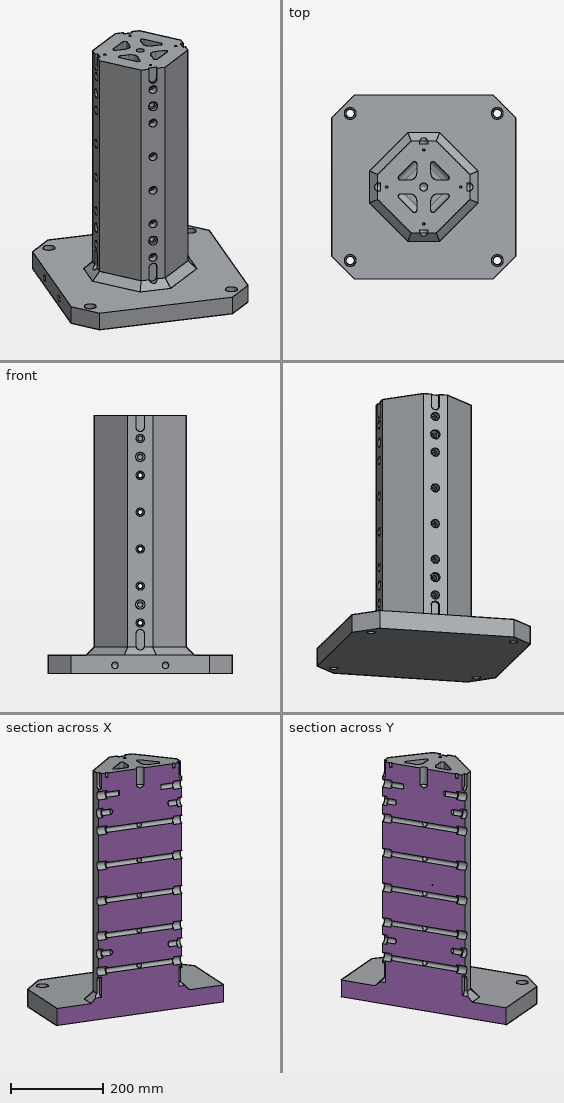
import cadquery as cq
import math

BASE_SIDE = 400.0
BASE_THICKNESS = 40.0
BASE_CORNER_CUT = 50.0

TOTAL_HEIGHT = 560.0
COLUMN_WIDTH = 200.0
COLUMN_DIAGONAL_WIDTH = 180.0
FLARE_HEIGHT = 18.0
FLARE_REACH = 18.0

BOLT_OFFSET = 159.5
BOLT_DIAMETER = 18.0
BOLT_RECESS_DIAMETER = 26.0
BOLT_RECESS_DEPTH = 20.0

SIDE_HOLE_OFFSET = 55.0
SIDE_HOLE_HEIGHT = 18.0
SIDE_HOLE_DIAMETER = 14.0
SIDE_HOLE_DEPTH = 30.0

HOLE_PITCH = 80.0
LOWEST_HOLE_HEIGHT = 110.0
ROW_HOLE_COUNT = 6
ROW_HOLE_DIAMETER = 10.5
ROW_RECESS_DIAMETER = 18.0
ROW_RECESS_DEPTH = 20.0
STOPPED_HOLE_DEPTH = 50.0
DRILLED_HOLE_DIAMETER = 12.0
DRILLED_RECESS_DIAMETER = 20.0
DRILLED_RECESS_DEPTH = 10.0
DRILLED_HOLE_DEPTH = 30.0

KEYWAY_WIDTH = 18.0
KEYWAY_DEPTH = 6.0
LOWER_KEYWAY_BOTTOM = 51.0
LOWER_KEYWAY_TOP = 96.0
UPPER_KEYWAY_BOTTOM = 525.0

CENTRE_HOLE_DIAMETER = 17.5
CENTRE_HOLE_DEPTH = 40.0
PIN_HOLE_DIAMETER = 5.0
PIN_HOLE_OFFSET = 80.0
PIN_HOLE_DEPTH = 10.0

RIB_THICKNESS = 30.0
POCKET_OUTER_DISTANCE = 55.0
POCKET_ROUNDING = 15.0
POCKET_TIP_RADIUS = 5.0

DRILL_POINT_ANGLE = 118.0
QUARTER_TURNS = (0, 90, 180, 270)


def octagon(width, diagonal_width, height):
    """Closed octagon at the given height; the two widths are across the flats."""
    half = width / 2
    half_face = diagonal_width / math.sqrt(2) - half
    points = [
        (half, half_face), (half_face, half), (-half_face, half), (-half, half_face),
        (-half, -half_face), (-half_face, -half), (half_face, -half), (half, -half_face),
    ]
    return cq.Workplane("XY").workplane(offset=height).polyline(points).close()


def cylinder(diameter, depth, start, direction):
    return cq.Workplane(cq.Solid.makeCylinder(diameter / 2, depth, start, direction))


def drilled_hole(diameter, depth, start, direction):
    """Blind hole of full-diameter depth, ending in a drill point."""
    radius = diameter / 2
    point_depth = radius / math.tan(math.radians(DRILL_POINT_ANGLE / 2))
    point = cq.Solid.makeCone(radius, 0, point_depth, start + direction * depth, direction)
    return cylinder(diameter, depth, start, direction).union(cq.Workplane(point))


def on_all_sides(tool):
    """Four copies of a tool, a quarter turn apart about the column axis."""
    copies = cq.Workplane("XY")
    for angle in QUARTER_TURNS:
        copies = copies.add(tool.rotate((0, 0, 0), (0, 0, 1), angle))
    return copies.combine()


def base_plate():
    plate = cq.Workplane("XY").box(BASE_SIDE, BASE_SIDE, BASE_THICKNESS, centered=(True, True, False))
    return plate.edges("|Z").chamfer(BASE_CORNER_CUT)


def column():
    shaft = octagon(COLUMN_WIDTH, COLUMN_DIAGONAL_WIDTH, BASE_THICKNESS)
    shaft = shaft.extrude(TOTAL_HEIGHT - BASE_THICKNESS)
    foot = octagon(COLUMN_WIDTH + 2 * FLARE_REACH, COLUMN_DIAGONAL_WIDTH + 2 * FLARE_REACH, BASE_THICKNESS)
    head = octagon(COLUMN_WIDTH, COLUMN_DIAGONAL_WIDTH, BASE_THICKNESS + FLARE_HEIGHT)
    flare = cq.Solid.makeLoft([foot.wire().val(), head.wire().val()], True)
    return shaft.union(cq.Workplane(flare))


def base_bolt_hole():
    top = cq.Vector(BOLT_OFFSET, BOLT_OFFSET, BASE_THICKNESS)
    down = cq.Vector(0, 0, -1)
    hole = cylinder(BOLT_DIAMETER, BASE_THICKNESS, top, down)
    return hole.union(cylinder(BOLT_RECESS_DIAMETER, BOLT_RECESS_DEPTH, top, down))


def base_side_holes():
    holes = cq.Workplane("XY")
    for x in (-SIDE_HOLE_OFFSET, SIDE_HOLE_OFFSET):
        start = cq.Vector(x, -BASE_SIDE / 2, SIDE_HOLE_HEIGHT)
        holes = holes.add(drilled_hole(SIDE_HOLE_DIAMETER, SIDE_HOLE_DEPTH, start, cq.Vector(0, 1, 0)))
    return holes.combine()


def face_holes():
    """Hole row of the column face towards -Y; its through holes meet those of the other faces at the axis."""
    inward = cq.Vector(0, 1, 0)
    row_heights = [LOWEST_HOLE_HEIGHT + i * HOLE_PITCH for i in range(ROW_HOLE_COUNT)]
    holes = cq.Workplane("XY")
    for height in row_heights:
        start = cq.Vector(0, -COLUMN_WIDTH / 2, height)
        is_top_hole = height == row_heights[-1]
        depth = STOPPED_HOLE_DEPTH if is_top_hole else COLUMN_WIDTH / 2
        holes = holes.add(cylinder(ROW_HOLE_DIAMETER, depth, start, inward))
        holes = holes.add(cylinder(ROW_RECESS_DIAMETER, ROW_RECESS_DEPTH, start, inward))
    for height in (row_heights[0] + HOLE_PITCH / 2, row_heights[-1] - HOLE_PITCH / 2):
        start = cq.Vector(0, -COLUMN_WIDTH / 2, height)
        holes = holes.add(drilled_hole(DRILLED_HOLE_DIAMETER, DRILLED_HOLE_DEPTH, start, inward))
        holes = holes.add(cylinder(DRILLED_RECESS_DIAMETER, DRILLED_RECESS_DEPTH, start, inward))
    return holes.combine()


def keyway(bottom, top):
    """Round-ended keyway of the column face towards -Y, cut outwards through the flare."""
    floor = cq.Workplane("XZ", origin=(0, KEYWAY_DEPTH - COLUMN_WIDTH / 2, (bottom + top) / 2))
    return floor.slot2D(top - bottom, KEYWAY_WIDTH, 90).extrude(KEYWAY_DEPTH + FLARE_REACH)


def pin_hole():
    start = cq.Vector(0, -PIN_HOLE_OFFSET, TOTAL_HEIGHT)
    return cylinder(PIN_HOLE_DIAMETER, PIN_HOLE_DEPTH, start, cq.Vector(0, 0, -1))


def pocket():
    """Pocket of the +X +Y quarter, from the column top down to the base plate."""
    inner = RIB_THICKNESS / 2
    tip = POCKET_OUTER_DISTANCE * math.sqrt(2) - inner
    depth = TOTAL_HEIGHT - BASE_THICKNESS
    floor = cq.Workplane("XY").workplane(offset=BASE_THICKNESS)
    prism = floor.polyline([(inner, inner), (tip, inner), (inner, tip)]).close().extrude(depth)
    prism = prism.edges("|Z and (>X or >Y)").fillet(POCKET_TIP_RADIUS)
    prism = prism.edges(cq.NearestToPointSelector((inner, inner, TOTAL_HEIGHT / 2))).fillet(POCKET_ROUNDING)
    rounded_block = floor.rect(2 * POCKET_OUTER_DISTANCE, 2 * tip).extrude(depth)
    rounded_block = rounded_block.edges(">X and <Z").fillet(POCKET_ROUNDING)
    return prism.intersect(rounded_block.rotate((0, 0, 0), (0, 0, 1), 45))


upper_keyway_end = TOTAL_HEIGHT + KEYWAY_WIDTH
centre_hole = drilled_hole(
    CENTRE_HOLE_DIAMETER, CENTRE_HOLE_DEPTH, cq.Vector(0, 0, TOTAL_HEIGHT), cq.Vector(0, 0, -1))

result = base_plate().union(column()).cut(centre_hole).cut(base_side_holes())
repeated_tools = [
    base_bolt_hole(),
    face_holes(),
    keyway(LOWER_KEYWAY_BOTTOM, LOWER_KEYWAY_TOP),
    keyway(UPPER_KEYWAY_BOTTOM, upper_keyway_end),
    pin_hole(),
    pocket(),
]
for tool in repeated_tools:
    result = result.cut(on_all_sides(tool))